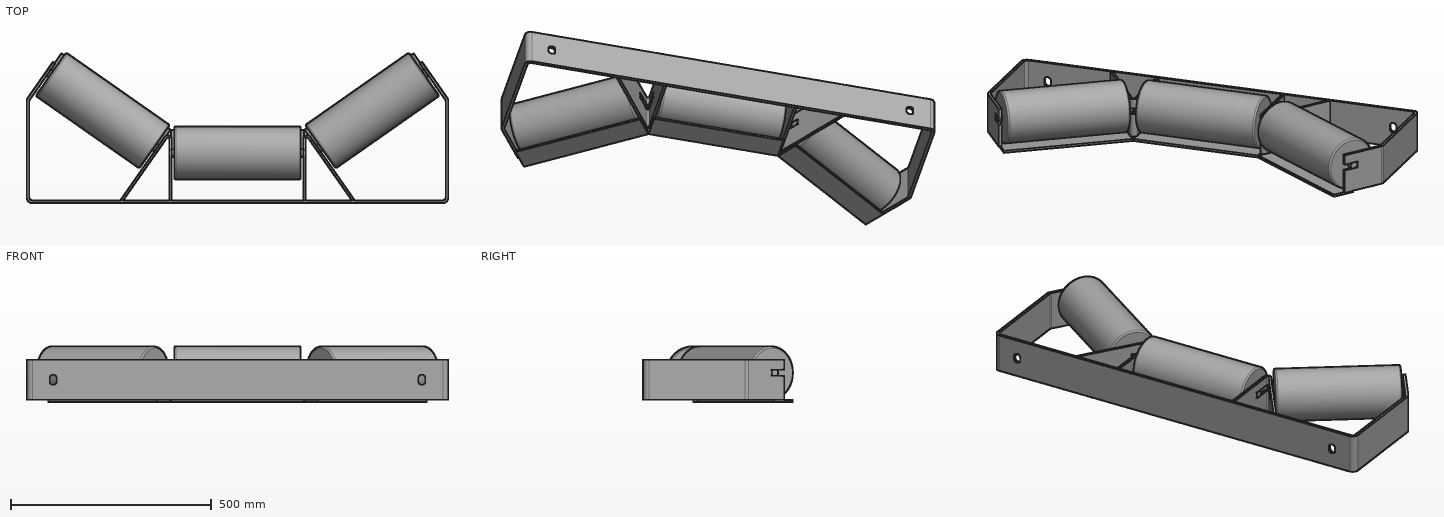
import cadquery as cq
import math


TROUGH_ANGLE = 35.0

STRIP_HEIGHT = 100.0

FRAME_LENGTH = 1050.0
FRAME_THICKNESS = 7.0
FRAME_BEND_RADIUS = 15.0
MOUNT_SLOT_WIDTH = 18.0
MOUNT_SLOT_HEIGHT = 25.0
MOUNT_SLOT_X = 459.0

BRACKET_THICKNESS = 6.0
BRACKET_FOLD_RADIUS = 9.0

ROLLER_LENGTH = 315.0
ROLLER_RADIUS = 66.0
ROLLER_ROUNDING = 4.0
ROLLER_END_GAP = 6.0
AXLE_DIAMETER = 20.0
AXLE_FLAT_WIDTH = 16.0
AXIS_Y = 125.0
AXIS_Z = 67.0

AXIS_TO_FOLD = 65.0
AXIS_TO_ARM_TIP = 28.0

PLATE_WIDTH = 58.0
PLATE_THICKNESS = 6.0
PLATE_OVERHANG = 2.0

clear_span = ROLLER_LENGTH + 2 * ROLLER_END_GAP
axle_length = clear_span + 2 * BRACKET_THICKNESS
slot_span = clear_span + 2 * FRAME_THICKNESS
slot_cutter_depth = AXIS_TO_FOLD + AXLE_DIAMETER / 2

fold_x = clear_span / 2
fold_y = AXIS_Y + AXIS_TO_FOLD

angle = math.radians(TROUGH_ANGLE)
wing_fold = cq.Vector(-fold_x, fold_y)
wing_out = cq.Vector(-math.cos(angle), math.sin(angle))
wing_up = cq.Vector(math.sin(angle), math.cos(angle))


def bent_strip(points, thickness, bend_radius):
    """Upright strip whose outer face follows the points, with its thickness to their left."""
    directions = [(end - start).normalized() for start, end in zip(points, points[1:])]
    normals = [cq.Vector(-d.y, d.x) for d in directions]
    inner = [points[0] + normals[0] * thickness]
    for corner, before, after in zip(points[1:-1], normals, normals[1:]):
        mitre = (before + after) * (thickness / (1 + before.dot(after)))
        inner.append(corner + mitre)
    inner.append(points[-1] + normals[-1] * thickness)

    outline = [(p.x, p.y) for p in points + inner[::-1]]
    strip = cq.Workplane("XY").polyline(outline).close().extrude(STRIP_HEIGHT)

    mid_height = cq.Vector(0, 0, STRIP_HEIGHT / 2)
    faces = ((points, bend_radius), (inner, bend_radius - thickness))
    for face_points, radius in faces:
        for corner in face_points[1:-1]:
            nearest = cq.selectors.NearestToPointSelector((corner + mid_height).toTuple())
            strip = strip.edges("|Z").edges(nearest).fillet(radius)
    return strip


def mirrored(point):
    return cq.Vector(-point.x, point.y)


def to_left_wing(body):
    """Moves a body from the middle roller's place to the left wing roller's place."""
    at_fold = body.translate((-2 * fold_x, 0, 0))
    return at_fold.rotate((-fold_x, fold_y, 0), (-fold_x, fold_y, 1), -TROUGH_ANGLE)


def three_places(body):
    """Copies of a middle-roller body for the left wing, the middle and the right wing."""
    left = to_left_wing(body)
    return [left, body, left.mirror("YZ")]


def make_axle():
    """Axle of the middle roller, with flats above and below where it enters the slots."""
    axle = (
        cq.Workplane("YZ", origin=(-axle_length / 2, AXIS_Y, AXIS_Z))
        .circle(AXLE_DIAMETER / 2)
        .extrude(axle_length)
    )
    flatted = axle.intersect(
        cq.Workplane("XY", origin=(0, AXIS_Y, AXIS_Z)).box(axle_length, AXLE_DIAMETER, AXLE_FLAT_WIDTH)
    )
    round_middle = (
        cq.Workplane("YZ", origin=(-clear_span / 2, AXIS_Y, AXIS_Z))
        .circle(AXLE_DIAMETER / 2)
        .extrude(clear_span)
    )
    return flatted.union(round_middle)


def make_roller():
    """Middle roller, with its axle."""
    shell = (
        cq.Workplane("YZ", origin=(-ROLLER_LENGTH / 2, AXIS_Y, AXIS_Z))
        .circle(ROLLER_RADIUS)
        .extrude(ROLLER_LENGTH)
        .edges()
        .fillet(ROLLER_ROUNDING)
    )
    return shell.union(make_axle())


def make_plate():
    """Plate beneath the rear half of the middle roller."""
    plate_length = clear_span + 2 * PLATE_OVERHANG
    return cq.Workplane("XY", origin=(0, AXIS_Y, -PLATE_THICKNESS)).box(
        plate_length, PLATE_WIDTH, PLATE_THICKNESS, centered=(True, False, False)
    )


def make_axle_slots():
    """Cutter for the open slots that take the two ends of the middle axle."""
    return cq.Workplane("XY", origin=(0, AXIS_Y - AXLE_DIAMETER / 2, AXIS_Z)).box(
        slot_span, slot_cutter_depth, AXLE_FLAT_WIDTH, centered=(True, False, True)
    )


def make_frame():
    arm_face = wing_fold + wing_out * (clear_span + FRAME_THICKNESS)
    arm_tip = arm_face + wing_up * (AXIS_TO_ARM_TIP - AXIS_TO_FOLD)
    drop_to_side = (arm_face.x + FRAME_LENGTH / 2) / wing_up.x
    shoulder = arm_face - wing_up * drop_to_side
    front_corner = cq.Vector(-FRAME_LENGTH / 2, 0)
    left_side = [arm_tip, shoulder, front_corner]
    right_side = [mirrored(p) for p in reversed(left_side)]
    frame = bent_strip(left_side + right_side, FRAME_THICKNESS, FRAME_BEND_RADIUS)

    mount_slots = (
        cq.Workplane("XZ", origin=(0, 0, STRIP_HEIGHT / 2))
        .pushPoints([(-MOUNT_SLOT_X, 0), (MOUNT_SLOT_X, 0)])
        .slot2D(MOUNT_SLOT_HEIGHT, MOUNT_SLOT_WIDTH, 90)
        .extrude(-FRAME_THICKNESS)
    )
    frame = frame.cut(mount_slots)
    for slots in three_places(make_axle_slots()):
        frame = frame.cut(slots)
    return frame


def make_left_bracket():
    """Folded bracket between the left wing roller and the middle roller."""
    upright_foot = cq.Vector(-fold_x, 0)
    sloping_foot = wing_fold - wing_up * (fold_y / wing_up.y + BRACKET_THICKNESS)
    bracket = bent_strip([upright_foot, wing_fold, sloping_foot], BRACKET_THICKNESS, BRACKET_FOLD_RADIUS)

    foot_trim = cq.Workplane("XY", origin=(0, FRAME_THICKNESS, 0)).box(
        FRAME_LENGTH, 2 * AXIS_Y, STRIP_HEIGHT, centered=(True, False, False)
    )
    bracket = bracket.intersect(foot_trim)
    slots = make_axle_slots()
    return bracket.cut(slots).cut(to_left_wing(slots))


frame = make_frame()
left_bracket = make_left_bracket()
brackets = [left_bracket, left_bracket.mirror("YZ")]
rollers = three_places(make_roller())
plates = three_places(make_plate())

bodies = [frame, *brackets, *rollers, *plates]
result = cq.Compound.makeCompound([body.val() for body in bodies])